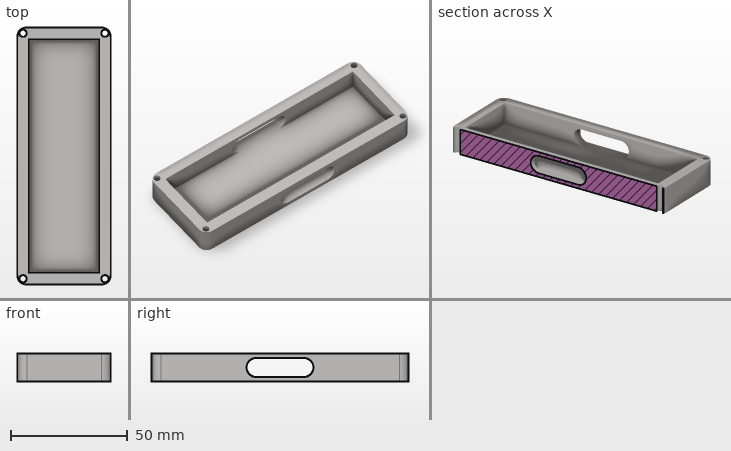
import cadquery as cq

width = 40.0
length = 109.96
height = 12.0
corner_radius = 4.0

wall = 5.0
floor = 2.0
pocket_width = width - 2 * wall
pocket_length = length - 2 * wall

screw_diameter = 3.0
screw_inset = 2.5

window_length = 28.5
window_height = height - 2 * floor
window_center_z = height / 2


def make_body():
    """Rectangular block with rounded vertical corners, base on Z = 0."""
    block = cq.Workplane("XY").box(width, length, height, centered=(True, True, False))
    return block.edges("|Z").fillet(corner_radius)


def cut_pocket(body):
    pocket = cq.Workplane("XY").workplane(offset=floor).rect(pocket_width, pocket_length).extrude(height)
    return body.cut(pocket)


def cut_screw_holes(body):
    spacing_x = width - 2 * screw_inset
    spacing_y = length - 2 * screw_inset
    holes = (
        cq.Workplane("XY")
        .rect(spacing_x, spacing_y, forConstruction=True)
        .vertices()
        .circle(screw_diameter / 2)
        .extrude(height)
    )
    return body.cut(holes)


def cut_windows(body):
    window = (
        cq.Workplane("YZ")
        .center(0, window_center_z)
        .slot2D(window_length, window_height)
        .extrude(width / 2, both=True)
    )
    return body.cut(window)


result = cut_windows(cut_screw_holes(cut_pocket(make_body())))